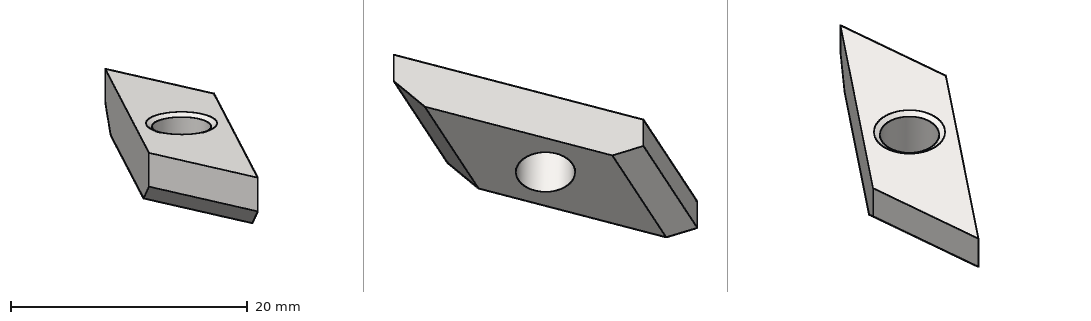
import cadquery as cq

length = 27.3
width = 16.0
thickness = 5.0
bevel = 2.0
hole_diameter = 5.0
hole_mouth_diameter = 6.0
countersink_angle = 120

slant_shift = width
end_edge = length - slant_shift


def bevelled_profile():
    """YZ section of the bar, with both lower edges bevelled."""
    half = width / 2
    return [
        (-half, thickness),
        (half, thickness),
        (half, bevel),
        (half - bevel, 0),
        (-half + bevel, 0),
        (-half, bevel),
    ]


def rhomboid_outline():
    """XY outline of the part, leaning towards -X as Y increases."""
    half_length = length / 2
    half_width = width / 2
    return [
        (-half_length, half_width),
        (-half_length + end_edge, half_width),
        (half_length, -half_width),
        (half_length - end_edge, -half_width),
    ]


bar = cq.Workplane("YZ").polyline(bevelled_profile()).close().extrude(length / 2, both=True)
outline = cq.Workplane("XY").polyline(rhomboid_outline()).close().extrude(thickness)
body = bar.intersect(outline)

result = body.faces(">Z").workplane(origin=(0, 0, thickness)).cskHole(
    hole_diameter, hole_mouth_diameter, countersink_angle
)